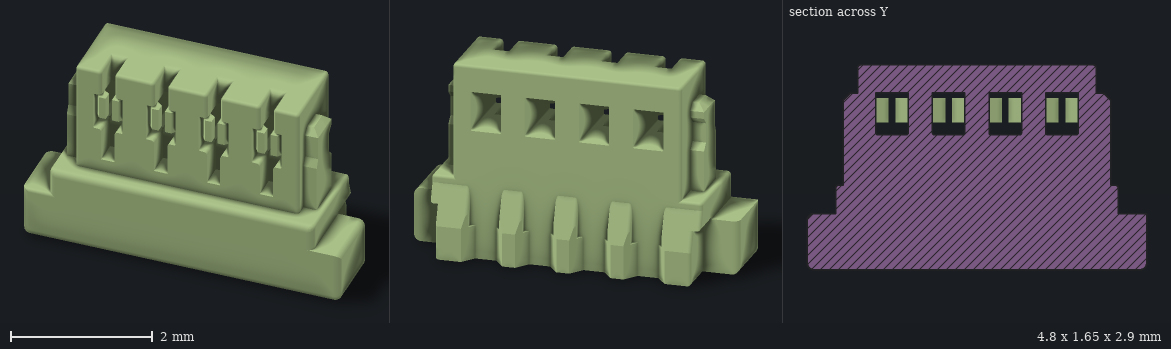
import cadquery as cq
import math


EDGE_R = 0.05
BASE_R = 0.10
WINDOW_CORNER_R = 0.02

BASE_WIDTH = 4.8
BASE_DEPTH = 1.0
BASE_HEIGHT = 0.8

SHOULDER_WIDTH = 4.0
SHOULDER_TOP = 1.2
CORE_WIDTH = 3.78

TOTAL_DEPTH = 1.65
SLOPE_BOTTOM = 0.5
SLOPE_TOP = 1.08

HOUSING_WIDTH = 3.38
HOUSING_FRONT = 0.25
HOUSING_BACK = 1.45
HOUSING_TOP = 2.9

CONTACT_COUNT = 4
CONTACT_PITCH = 0.8
CONTACT_XS = [(i - (CONTACT_COUNT - 1) / 2) * CONTACT_PITCH for i in range(CONTACT_COUNT)]

WINDOW_WIDTH = 0.45
WINDOW_BOTTOM = 1.915
WINDOW_TOP = 2.5
SLOT_WIDTH = 0.2
UPPER_SLOT_BACK = 0.66
UPPER_SLOT_BACK_R = 0.10
LOWER_SLOT_BACK = 0.60
LOWER_SLOT_BACK_R = 0.13
LOWER_SLOT_BOTTOM = 1.4
FLARE_R = 0.05

FINGER_GAP = 0.094
FINGER_BOTTOM = 2.08
FINGER_TOP = 2.43
FINGER_FRONT = 0.29
FINGER_TIP_BACK = 0.42
FINGER_ROOT_FRONT = 0.40
FINGER_ROOT_BACK = 0.55
FINGER_FACE_WIDTH = 0.10

LATCH_TOP = 2.5
LATCH_CHAMFER = 0.10
LATCH_BACK = 1.01
LATCH_NOTCH_BACK = 0.91
LATCH_FOOT_FRONT = 0.435
LATCH_HEAD_FRONT = 0.493
LATCH_STEP_BOTTOM = 1.91
LATCH_STEP_TOP = 2.04
LATCH_NOTCH_BOTTOM = 1.81
LATCH_NOTCH_TOP = 2.30
LATCH_NOTCH_DEPTH = LATCH_BACK - LATCH_NOTCH_BACK

GROOVE_FLOOR_WIDTH = 0.31
GROOVE_MOUTH_WIDTH = 0.61
CHANNEL_WIDTH = 0.46


def block(x_min, x_max, y_min, y_max, z_min, z_max):
    """Box between the given limits."""
    box = cq.Workplane("XY").box(x_max - x_min, y_max - y_min, z_max - z_min, centered=False)
    return box.translate((x_min, y_min, z_min))


def centered_block(width, y_min, y_max, z_min, z_max):
    """Box of the given width, centered on X = 0."""
    return block(-width / 2, width / 2, y_min, y_max, z_min, z_max)


def side_profile(points, width):
    """Outline of (y, z) points extruded to a width centered on X = 0."""
    return cq.Workplane("YZ").polyline(points).close().extrude(width / 2, both=True)


def rounded_corner(plane, wall, floor, radius):
    """Sketch of the sliver removed when the edge between a wall and a floor is rounded."""
    along_45 = radius * (1 - math.sqrt(0.5))
    return (
        cq.Workplane(plane)
        .moveTo(wall, floor - radius)
        .threePointArc((wall + along_45, floor - along_45), (wall + radius, floor))
        .lineTo(wall, floor)
        .close()
    )


def fillet_at(solid, radius, points):
    """Round the edges that pass closest to the given points."""
    edges = solid.edges().vals()
    chosen = [
        min(edges, key=lambda edge: edge.distance(cq.Vertex.makeVertex(*point)))
        for point in points
    ]
    return solid.newObject(chosen).fillet(radius)


def both_sides(points):
    """The given points together with their mirror images across X = 0."""
    return points + [(-x, y, z) for x, y, z in points]


def slope_depth(z):
    """Y of the rear slope at height z."""
    rise = (SLOPE_TOP - z) / (SLOPE_TOP - SLOPE_BOTTOM)
    return HOUSING_BACK + rise * (TOTAL_DEPTH - HOUSING_BACK)


def make_shoulder():
    """Step above the base that follows the rear slope, with rounded side and rear edges."""
    outline = [
        (0, BASE_HEIGHT), (slope_depth(BASE_HEIGHT), BASE_HEIGHT), (HOUSING_BACK, SLOPE_TOP),
        (HOUSING_BACK, SHOULDER_TOP), (0, SHOULDER_TOP),
    ]
    side = SHOULDER_WIDTH / 2
    slope_middle_z = (BASE_HEIGHT + SLOPE_TOP) / 2
    rounded = both_sides([
        (side, slope_depth(slope_middle_z), slope_middle_z),
        (side, HOUSING_BACK, (SLOPE_TOP + SHOULDER_TOP) / 2),
        (side, HOUSING_BACK / 2, SHOULDER_TOP),
    ])
    rounded.append((0, HOUSING_BACK, SHOULDER_TOP))
    return fillet_at(side_profile(outline, SHOULDER_WIDTH), EDGE_R, rounded)


def make_core():
    """Block behind the base plate that carries the lower part of the rear slope."""
    core_front = BASE_DEPTH / 2
    outline = [
        (core_front, 0), (TOTAL_DEPTH, 0), (TOTAL_DEPTH, SLOPE_BOTTOM),
        (HOUSING_BACK, SLOPE_TOP), (core_front, SLOPE_TOP),
    ]
    return side_profile(outline, CORE_WIDTH)


def make_underside_round():
    """Strips that round the lower side edges of the shoulder behind the base plate."""
    side = SHOULDER_WIDTH / 2
    strip = block(side - EDGE_R, side, BASE_DEPTH, TOTAL_DEPTH, BASE_HEIGHT, BASE_HEIGHT + EDGE_R)
    rod = cq.Workplane("XZ").center(side - EDGE_R, BASE_HEIGHT + EDGE_R).circle(EDGE_R)
    strip = strip.cut(rod.extrude(-TOTAL_DEPTH))
    return strip.union(strip.mirror("YZ"))


def make_left_wing_round():
    """Strip that rounds the top front edge of the left wing, up to the shoulder."""
    end = BASE_WIDTH / 2
    side = SHOULDER_WIDTH / 2
    strip = block(-end, 0, 0, EDGE_R, BASE_HEIGHT - EDGE_R, BASE_HEIGHT)
    rod = cq.Workplane("YZ").center(EDGE_R, BASE_HEIGHT - EDGE_R).circle(EDGE_R).extrude(-end)
    shoulder_footprint = centered_block(SHOULDER_WIDTH, 0, BASE_DEPTH, 0, BASE_HEIGHT)
    shoulder_footprint = fillet_at(shoulder_footprint, BASE_R, [(-side, 0, BASE_HEIGHT / 2)])
    return strip.cut(rod).cut(shoulder_footprint)


def make_base():
    """Base plate, core and shoulder with their outer edges rounded."""
    base = centered_block(BASE_WIDTH, 0, BASE_DEPTH, 0, BASE_HEIGHT)
    base = base.union(make_core()).union(make_shoulder())

    end = BASE_WIDTH / 2
    side = SHOULDER_WIDTH / 2
    middle_y = BASE_DEPTH / 2
    middle_z = BASE_HEIGHT / 2

    shoulder_front = both_sides([(side, 0, (BASE_HEIGHT + SHOULDER_TOP) / 2)])
    shoulder_front.append((0, 0, SHOULDER_TOP))
    base = fillet_at(base, BASE_R, shoulder_front)

    plate_edges = both_sides([(end, 0, middle_z), (end, middle_y, 0)])
    plate_edges += [(0, 0, 0), (-end, BASE_DEPTH, middle_z), (end, middle_y, BASE_HEIGHT)]
    base = fillet_at(base, BASE_R, plate_edges)

    core_side = CORE_WIDTH / 2
    core_slope_z = (SLOPE_BOTTOM + BASE_HEIGHT) / 2
    core_edges = both_sides([
        (core_side, TOTAL_DEPTH, SLOPE_BOTTOM / 2),
        (core_side, slope_depth(core_slope_z), core_slope_z),
        (core_side, (BASE_DEPTH + TOTAL_DEPTH) / 2, 0),
    ])
    base = fillet_at(base, EDGE_R, core_edges)
    return base.cut(make_underside_round()).cut(make_left_wing_round())


def cut_wire_grooves(base):
    """Cut the grooves between the rear ribs: flared below the slope, straight along it."""
    channel = centered_block(CHANNEL_WIDTH, HOUSING_BACK, TOTAL_DEPTH, SLOPE_BOTTOM, SLOPE_TOP)
    for x in CONTACT_XS:
        base = base.cut(channel.translate((x, 0, 0)))
    slope_z = (SLOPE_BOTTOM + SLOPE_TOP) / 2
    rib_edges = [
        (x + side * CHANNEL_WIDTH / 2, slope_depth(slope_z), slope_z)
        for x in CONTACT_XS for side in (-1, 1)
    ]
    base = fillet_at(base, EDGE_R, rib_edges)
    for x in CONTACT_XS:
        flare = cq.Workplane("XY").polyline([
            (x - GROOVE_FLOOR_WIDTH / 2, HOUSING_BACK),
            (x + GROOVE_FLOOR_WIDTH / 2, HOUSING_BACK),
            (x + GROOVE_MOUTH_WIDTH / 2, TOTAL_DEPTH),
            (x - GROOVE_MOUTH_WIDTH / 2, TOTAL_DEPTH),
        ]).close().extrude(SLOPE_TOP)
        base = base.cut(flare)
    return base


def make_housing():
    """Upper housing with the rounded slots that open through its top and front."""
    housing = centered_block(HOUSING_WIDTH, HOUSING_FRONT, HOUSING_BACK, SLOPE_TOP, HOUSING_TOP)
    slot_end = (WINDOW_BOTTOM + WINDOW_TOP) / 2
    slot = centered_block(SLOT_WIDTH, HOUSING_FRONT, UPPER_SLOT_BACK, slot_end, HOUSING_TOP)
    for x in CONTACT_XS:
        housing = housing.cut(slot.translate((x, 0, 0)))

    slot_back_edges = [(x, UPPER_SLOT_BACK, HOUSING_TOP) for x in CONTACT_XS]
    housing = fillet_at(housing, UPPER_SLOT_BACK_R, slot_back_edges)

    half = HOUSING_WIDTH / 2
    middle_y = (HOUSING_FRONT + HOUSING_BACK) / 2
    middle_z = (SLOPE_TOP + HOUSING_TOP) / 2
    slot_middle_y = (HOUSING_FRONT + UPPER_SLOT_BACK) / 2
    slot_front_z = (WINDOW_TOP + HOUSING_TOP) / 2
    rounded = both_sides([
        (half, HOUSING_FRONT, middle_z),
        (half, HOUSING_BACK, middle_z),
        (half, middle_y, HOUSING_TOP),
    ])
    rounded.append((0, HOUSING_BACK, HOUSING_TOP))
    rounded.append((CONTACT_XS[0] - CONTACT_PITCH / 2, HOUSING_FRONT, HOUSING_TOP))
    for x in CONTACT_XS:
        rounded.append((x + CONTACT_PITCH / 2, HOUSING_FRONT, HOUSING_TOP))
        for wall_x in (x - SLOT_WIDTH / 2, x + SLOT_WIDTH / 2):
            rounded.append((wall_x, HOUSING_FRONT, slot_front_z))
            rounded.append((wall_x, slot_middle_y, HOUSING_TOP))
    return fillet_at(housing, EDGE_R, rounded)


def make_latch_posts():
    """Latch posts on both ends, as one bar whose ends stick out of the housing."""
    outline = [
        (LATCH_FOOT_FRONT, SLOPE_TOP),
        (LATCH_FOOT_FRONT, LATCH_STEP_BOTTOM),
        (LATCH_HEAD_FRONT, LATCH_STEP_TOP),
        (LATCH_HEAD_FRONT, LATCH_TOP),
        (LATCH_BACK, LATCH_TOP),
        (LATCH_BACK, LATCH_NOTCH_TOP),
        (LATCH_NOTCH_BACK, LATCH_NOTCH_TOP - LATCH_NOTCH_DEPTH),
        (LATCH_NOTCH_BACK, LATCH_NOTCH_BOTTOM + LATCH_NOTCH_DEPTH),
        (LATCH_BACK, LATCH_NOTCH_BOTTOM),
        (LATCH_BACK, SLOPE_TOP),
    ]
    return side_profile(outline, CORE_WIDTH).faces(">Z").edges().chamfer(LATCH_CHAMFER)


def make_window_cutter():
    """Space for one contact: a window through the housing and a blind slot below it."""
    window = centered_block(WINDOW_WIDTH, HOUSING_FRONT, HOUSING_BACK, WINDOW_BOTTOM, WINDOW_TOP)
    window = window.edges("|Y and <Z").fillet(WINDOW_CORNER_R)

    slot = centered_block(SLOT_WIDTH, HOUSING_FRONT, LOWER_SLOT_BACK, LOWER_SLOT_BOTTOM, WINDOW_TOP)

    half = SLOT_WIDTH / 2
    side_flare = rounded_corner("XZ", half, WINDOW_BOTTOM, FLARE_R)
    side_flare = side_flare.extrude(HOUSING_FRONT - LOWER_SLOT_BACK).translate((0, HOUSING_FRONT, 0))
    back_flare = rounded_corner("YZ", LOWER_SLOT_BACK, WINDOW_BOTTOM, LOWER_SLOT_BACK_R)
    back_flare = back_flare.extrude(half, both=True)
    return window.union(slot).union(side_flare).union(side_flare.mirror("YZ")).union(back_flare)


def make_finger():
    """Finger on the +X wall of a window: a flat tip that widens toward the wall behind it."""
    tip = FINGER_GAP / 2
    face_end = tip + FINGER_FACE_WIDTH
    wall = WINDOW_WIDTH / 2
    outline = [
        (tip, FINGER_FRONT), (face_end, FINGER_FRONT), (wall, FINGER_ROOT_FRONT),
        (wall, FINGER_ROOT_BACK), (tip, FINGER_TIP_BACK),
    ]
    finger = cq.Workplane("XY").polyline(outline).close().extrude(FINGER_TOP - FINGER_BOTTOM)
    return finger.translate((0, 0, FINGER_BOTTOM))


result = cut_wire_grooves(make_base()).union(make_housing()).union(make_latch_posts())

window_cutter = make_window_cutter()
finger = make_finger()
finger_pair = finger.union(finger.mirror("YZ"))
for contact_x in CONTACT_XS:
    result = result.cut(window_cutter.translate((contact_x, 0, 0)))
    result = result.union(finger_pair.translate((contact_x, 0, 0)))